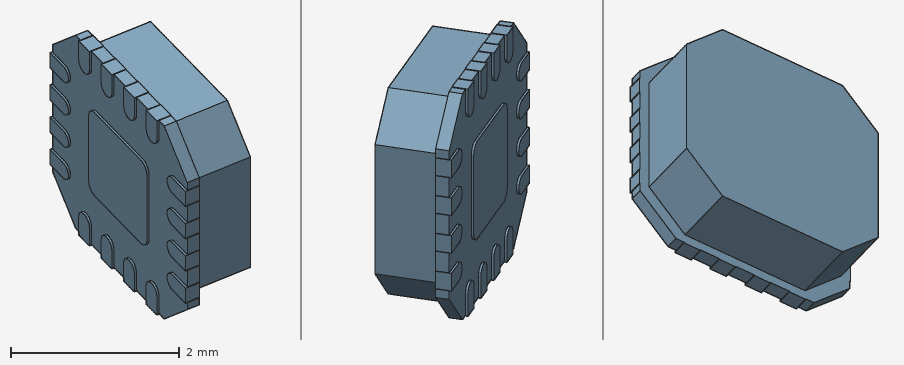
import cadquery as cq

overall_size = 3.02
overall_depth = 1.0

plating_thickness = 0.01
base_size = overall_size - 2 * plating_thickness
cover_size = 2.742
corner_cut = 0.513
base_back = 0.2

contact_thickness = 0.03
contacts_per_side = 4
contact_pitch = 0.5
contact_width = 0.235
contact_length = 0.41

center_pad_size = 1.295
center_pad_radius = 0.135


def cut_corner_block(size, front, back):
    """Square block from Y = front to Y = back with its four corners cut off at 45 degrees."""
    depth = back - front
    block = cq.Workplane("XY").box(size, depth, size).edges("|Y").chamfer(corner_cut)
    return block.translate((0, front + depth / 2, 0))


def contact(offset):
    """Round-ended contact on the +Z side, centred at X = offset, wrapped over the edge of the base."""
    half_width = contact_width / 2
    outer_end = overall_size / 2
    tip = outer_end - contact_length
    arc_start = tip + half_width
    face_pad = (
        cq.Workplane("XZ")
        .moveTo(offset - half_width, outer_end)
        .lineTo(offset - half_width, arc_start)
        .threePointArc((offset, tip), (offset + half_width, arc_start))
        .lineTo(offset + half_width, outer_end)
        .close()
        .extrude(-contact_thickness)
    )
    edge_strip = cq.Workplane("XY").box(contact_width, base_back, plating_thickness)
    edge_strip = edge_strip.translate((offset, base_back / 2, outer_end - plating_thickness / 2))
    return face_pad.union(edge_strip)


def center_pad():
    """Square pad with rounded corners on the contact face."""
    pad = cq.Workplane("XY").box(center_pad_size, contact_thickness, center_pad_size)
    return pad.edges("|Y").fillet(center_pad_radius).translate((0, contact_thickness / 2, 0))


base = cut_corner_block(base_size, contact_thickness, base_back)
cover = cut_corner_block(cover_size, base_back, overall_depth)
result = base.union(cover).union(center_pad())

for side_angle in (0, 90, 180, 270):
    for index in range(contacts_per_side):
        contact_offset = (index - (contacts_per_side - 1) / 2) * contact_pitch
        result = result.union(contact(contact_offset).rotate((0, 0, 0), (0, 1, 0), side_angle))